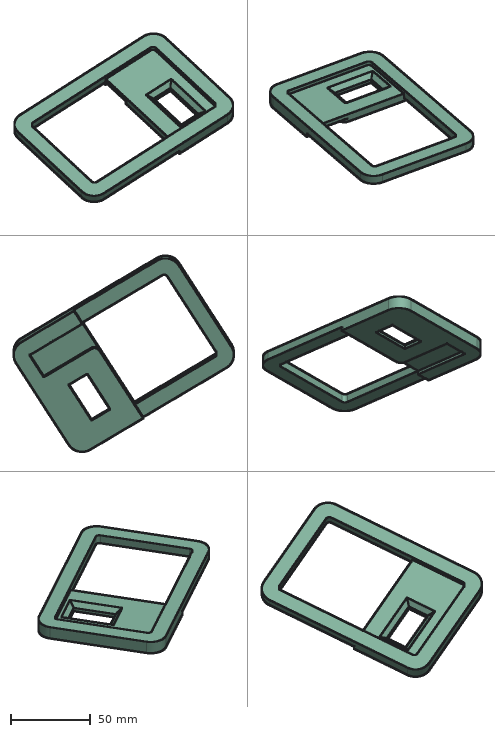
import cadquery as cq

LENGTH = 120.0
WIDTH = 82.5
HEIGHT = 8.5
BORDER = 10.0
OUTER_RADIUS = 10.0
INNER_DIAMETER = 4.7
INNER_RADIUS = INNER_DIAMETER / 2
OPENING_WIDTH = WIDTH - 2 * BORDER
OPENING_LENGTH = LENGTH - 2 * BORDER

BASE_HEIGHT = 2.5
PANEL_TOP = 5.8
REAR_LENGTH = 48.8
PANEL_FRONT_Y = LENGTH / 2 - REAR_LENGTH

WINDOW_WIDTH = 27.2
WINDOW_LENGTH = 13.5
WINDOW_X = 11.8
WINDOW_Y = 32.6
BEVEL_WIDTH = 3.4

RECESS_LEFT_X = -OPENING_WIDTH / 2
RECESS_REAR_Y = OPENING_LENGTH / 2
RECESS_RIGHT_X = -14.4
RECESS_MOUTH_RADIUS = 3.7


def rounded_block(width, length, height, radius):
    """Block standing on Z = 0 with rounded vertical edges."""
    block = cq.Workplane("XY").box(width, length, height, centered=(True, True, False))
    return block.edges("|Z").fillet(radius)


def full_width_slab(front_y, rear_y, height):
    """Slab standing on Z = 0, as wide as the part, between two Y positions."""
    return (
        cq.Workplane("XY", origin=(0, (front_y + rear_y) / 2, 0))
        .box(WIDTH, rear_y - front_y, height, centered=(True, True, False))
    )


def make_frame():
    """Full-size ring with its underside stepped up in front of the rear portion."""
    outside = rounded_block(WIDTH, LENGTH, HEIGHT, OUTER_RADIUS)
    opening = rounded_block(OPENING_WIDTH, OPENING_LENGTH, HEIGHT, INNER_RADIUS)
    ring = outside.cut(opening)
    front_step = full_width_slab(-LENGTH / 2, PANEL_FRONT_Y, BASE_HEIGHT)
    return ring.cut(front_step)


def make_panel():
    """Panel across the rear of the frame, flush with its underside."""
    outline = rounded_block(WIDTH, LENGTH, HEIGHT, OUTER_RADIUS)
    return outline.intersect(full_width_slab(PANEL_FRONT_Y, LENGTH / 2, PANEL_TOP))


def make_window():
    """Straight opening through the base that flares out above it."""
    straight = (
        cq.Workplane("XY", origin=(WINDOW_X, WINDOW_Y, 0))
        .rect(WINDOW_WIDTH, WINDOW_LENGTH)
        .extrude(BASE_HEIGHT)
    )
    flare = (
        cq.Workplane("XY", origin=(WINDOW_X, WINDOW_Y, BASE_HEIGHT))
        .rect(WINDOW_WIDTH, WINDOW_LENGTH)
        .workplane(offset=PANEL_TOP - BASE_HEIGHT)
        .rect(WINDOW_WIDTH + 2 * BEVEL_WIDTH, WINDOW_LENGTH + 2 * BEVEL_WIDTH)
        .loft(ruled=True)
    )
    return straight.union(flare)


def make_recess():
    """Shallow underside recess whose right wall rounds outward at the mouth."""
    mouth_right_x = RECESS_RIGHT_X + RECESS_MOUTH_RADIUS
    mouth_rear_y = PANEL_FRONT_Y + RECESS_MOUTH_RADIUS
    return (
        cq.Workplane("XY")
        .moveTo(RECESS_LEFT_X, PANEL_FRONT_Y)
        .lineTo(mouth_right_x, PANEL_FRONT_Y)
        .radiusArc((RECESS_RIGHT_X, mouth_rear_y), RECESS_MOUTH_RADIUS)
        .lineTo(RECESS_RIGHT_X, RECESS_REAR_Y)
        .lineTo(RECESS_LEFT_X, RECESS_REAR_Y)
        .close()
        .extrude(BASE_HEIGHT)
    )


result = make_frame().union(make_panel()).cut(make_window()).cut(make_recess())